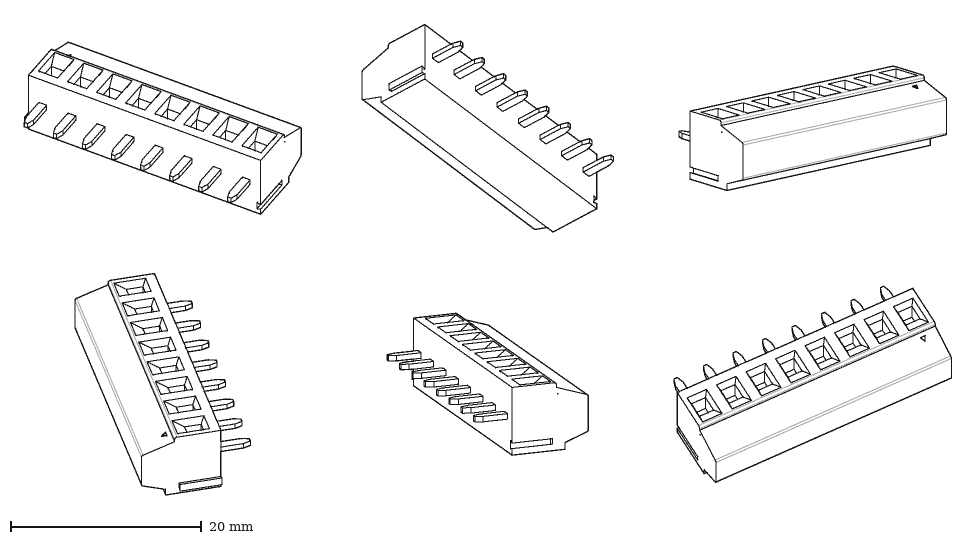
import cadquery as cq

overall_length = 28.5
overall_depth = 12.2

pole_count = 8
pole_pitch = 3.5
housing_length = 28.02
housing_depth = 8.6
housing_height = 7.4
first_pole_x = (housing_length - (pole_count - 1) * pole_pitch) / 2
pole_positions = [first_pole_x + index * pole_pitch for index in range(pole_count)]

top_depth = 5.02
top_step_z = 6.87
rear_upper_z = 5.67
rear_lower_z = 1.7
base_step_z = 0.75
base_depth = 5.98
edge_radius = 0.25

funnel_width = 2.3
funnel_front_y = 1.1
funnel_rear_y = 4.55
funnel_depth = 0.83
shaft_width = 1.68
shaft_front_y = 1.48
shaft_rear_y = 3.28
opening_depth = 2.85

pin_width = 0.95
pin_thickness = 0.6
pin_length = overall_depth - housing_depth
pin_straight_length = 2.76
pin_tip_width = 0.4
pin_center_z = 3.9
pin_embed = 0.28

dovetail_height = 0.45
dovetail_length = 4.53
dovetail_center_z = 1.03
dovetail_head = 0.88
dovetail_neck = 0.6

nub_diameter = 0.05
nub_height = overall_length - housing_length - dovetail_height
nub_y = 5.13
nub_z = 6.18

marker_width = 0.57
marker_base_y = 5.47
marker_tip_y = 6.0
marker_depth = 0.09


def make_housing():
    profile = [
        (0, 0),
        (base_depth, 0),
        (base_depth, base_step_z),
        (housing_depth, rear_lower_z),
        (housing_depth, rear_upper_z),
        (top_depth, top_step_z),
        (top_depth, housing_height),
        (0, housing_height),
    ]
    housing = cq.Workplane("YZ").polyline(profile).close().extrude(housing_length)
    rear_edges = housing.faces(">Y").edges("|X")
    top_step_edge = housing.faces(">Z").edges(">Y")
    return housing.newObject(rear_edges.vals() + top_step_edge.vals()).fillet(edge_radius)


def make_opening(pole_x):
    funnel_center_y = (funnel_front_y + funnel_rear_y) / 2
    shaft_center_y = (shaft_front_y + shaft_rear_y) / 2
    shaft_length = shaft_rear_y - shaft_front_y
    funnel = (
        cq.Workplane("XY", origin=(pole_x, 0, housing_height))
        .center(0, funnel_center_y)
        .rect(funnel_width, funnel_rear_y - funnel_front_y)
        .workplane(offset=-funnel_depth)
        .center(0, shaft_center_y - funnel_center_y)
        .rect(shaft_width, shaft_length)
        .loft(ruled=True)
    )
    shaft = (
        cq.Workplane("XY", origin=(pole_x, shaft_center_y, housing_height - opening_depth))
        .rect(shaft_width, shaft_length)
        .extrude(opening_depth - funnel_depth)
    )
    return funnel.union(shaft)


def make_pin(pole_x):
    outline = [
        (-pin_width / 2, pin_embed),
        (-pin_width / 2, -pin_straight_length),
        (-pin_tip_width / 2, -pin_length),
        (pin_tip_width / 2, -pin_length),
        (pin_width / 2, -pin_straight_length),
        (pin_width / 2, pin_embed),
    ]
    return (
        cq.Workplane("XY", origin=(pole_x, 0, pin_center_z))
        .polyline(outline)
        .close()
        .extrude(pin_thickness / 2, both=True)
    )


def make_dovetail(neck_x):
    """Dovetail bar that narrows from its head, toward -X, to its neck at neck_x."""
    outline = [
        (0, -dovetail_neck / 2),
        (-dovetail_height, -dovetail_head / 2),
        (-dovetail_height, dovetail_head / 2),
        (0, dovetail_neck / 2),
    ]
    return (
        cq.Workplane("XZ", origin=(neck_x, 0, dovetail_center_z))
        .polyline(outline)
        .close()
        .extrude(-dovetail_length)
    )


def make_nub():
    return (
        cq.Workplane("YZ", origin=(housing_length, nub_y, nub_z))
        .circle(nub_diameter / 2)
        .extrude(nub_height)
    )


def make_marker():
    """Triangular prism that reaches marker_depth below the sloped top at the triangle's middle."""
    slope = (rear_upper_z - top_step_z) / (housing_depth - top_depth)
    middle_y = (marker_base_y + marker_tip_y) / 2
    surface_z = top_step_z + slope * (middle_y - top_depth)
    slope_plane = cq.Plane(
        origin=(pole_positions[0], middle_y, surface_z),
        xDir=(1, 0, 0),
        normal=(0, -slope, 1),
    )
    half_length = (marker_tip_y - marker_base_y) / 2
    outline = [(-marker_width / 2, -half_length), (marker_width / 2, -half_length), (0, half_length)]
    return cq.Workplane(slope_plane).polyline(outline).close().extrude(-marker_depth)


result = make_housing()
for pole_x in pole_positions:
    result = result.cut(make_opening(pole_x)).union(make_pin(pole_x))
result = result.union(make_dovetail(0))
result = result.cut(make_dovetail(housing_length))
result = result.union(make_nub())
result = result.cut(make_marker())